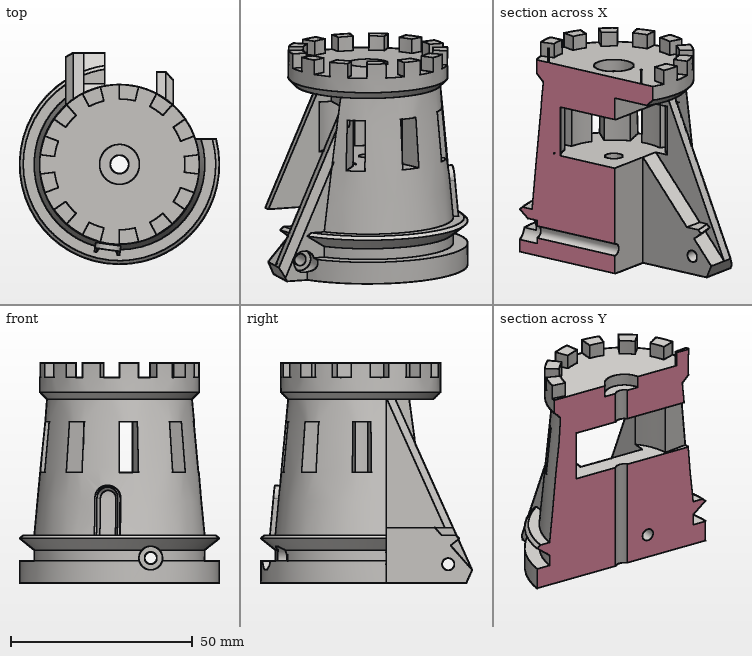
import cadquery as cq
import math

BASE_RADIUS = 27.5
NECK_RADIUS = 23.5
CORNICE_RADIUS = 20.0
CROWN_RADIUS = 22.0
BASE_TOP = 6.1
FLARE_START = 9.1
FLANGE_EDGE = 12.3
FLANGE_TOP = 13.2
FLANGE_BEVEL = 1.0
CORNICE_START = 50.6
CROWN_START = 52.6
ROOF = 56.6
TOTAL_HEIGHT = 60.6
REACH = 2 * BASE_RADIUS
TOWER_LEAN = (NECK_RADIUS - CORNICE_RADIUS) / (CORNICE_START - FLANGE_TOP)

TOOTH_COUNT = 13
TOOTH_PITCH = 360 / TOOTH_COUNT
WEDGE_ANGLE = TOOTH_PITCH / 2
TOOTH_INNER_RADIUS = 18.0

BORE_DIAMETER = 5.0
BORE_SEAT_DIAMETER = 11.0
BORE_SEAT_DEPTH = 3.3

WINDOW_COUNT = 6
FRONT_WINDOW_INDEX = 2
WINDOW_PITCH = 42.0
FRONT_WINDOW_ANGLE = -3 * TOOTH_PITCH
SILL = 30.5
LINTEL = 44.4
CHAMBER_RADIUS = 14.7

OPENING_Y = 7.0
CHEEK_OUTER_X = 14.85
LEFT_CHEEK_INNER_X = -9.8
RIGHT_CHEEK_INNER_X = 10.2
RAMP_EDGE_X = -4.0
RIGHT_CHEEK_BOTTOM = 15.3
CHEEK_TIP_Y = 30.72
CHEEK_TIP_Z = 3.6
CHEEK_FOOT_Y = 29.1
CHEEK_SLOPE = 2.22
CHEEK_CHAMFER = 2.1

SCREW_DIAMETER = 3.3
FRONT_HEAD_DIAMETER = 6.5
SIDE_HEAD_DIAMETER = 6.0
FRONT_SCREW_X = 8.6
FRONT_SCREW_Z = 6.9
FRONT_SEAT_Y = -20.0
SIDE_SCREW_Y = 24.1
SIDE_SCREW_Z = 5.2
SIDE_SEAT_X = -11.8

DOOR_ANGLE = 8.0
DOOR_OUTER_RADIUS = 3.5
DOOR_OPENING_RADIUS = 3.0
DOOR_SPRING_Z = 23.5
DOOR_PROJECTION = 1.5
DOOR_SPLAY = 28.0


def block(x_min, x_max, y_min, y_max, z_min, z_max):
    size = (x_max - x_min, y_max - y_min, z_max - z_min)
    return cq.Workplane("XY").box(*size, centered=False).translate((x_min, y_min, z_min))


def wedge(angle, radius, z_min, z_max):
    """Sector spanning half a tooth pitch, centred on the given angle from +X."""
    half_width = radius * math.tan(math.radians(WEDGE_ANGLE / 2))
    return (
        cq.Workplane("XY", origin=(0, 0, z_min))
        .polyline([(0, 0), (radius, -half_width), (radius, half_width)])
        .close()
        .extrude(z_max - z_min)
        .rotate((0, 0, 0), (0, 0, 1), angle)
    )


def turned_body():
    """Base, flange, tower and crown, with a full ring where the teeth will stand."""
    profile = [
        (0, 0),
        (BASE_RADIUS, 0),
        (BASE_RADIUS, BASE_TOP),
        (NECK_RADIUS, BASE_TOP),
        (NECK_RADIUS, FLARE_START),
        (BASE_RADIUS, FLANGE_EDGE),
        (BASE_RADIUS - FLANGE_BEVEL, FLANGE_TOP),
        (NECK_RADIUS, FLANGE_TOP),
        (CORNICE_RADIUS, CORNICE_START),
        (CROWN_RADIUS, CROWN_START),
        (CROWN_RADIUS, TOTAL_HEIGHT),
        (TOOTH_INNER_RADIUS, TOTAL_HEIGHT),
        (TOOTH_INNER_RADIUS, ROOF),
        (0, ROOF),
    ]
    return cq.Workplane("XZ").polyline(profile).close().revolve(360, (0, 0, 0), (0, 1, 0))


def rear_opening():
    """Space behind the tower; the left end of the base stays outside it."""
    upper = block(-CHEEK_OUTER_X, REACH, OPENING_Y, REACH, FLANGE_TOP, CORNICE_START)
    lower = block(RAMP_EDGE_X, REACH, OPENING_Y, REACH, 0, FLANGE_TOP)
    return upper.union(lower)


def cheek(inner_x, outer_x):
    """Sloping side plate with its outer rear edge chamfered."""
    top_y = CHEEK_TIP_Y - (CORNICE_START - CHEEK_TIP_Z) / CHEEK_SLOPE
    profile = [
        (OPENING_Y, 0),
        (CHEEK_FOOT_Y, 0),
        (CHEEK_TIP_Y, CHEEK_TIP_Z),
        (top_y, CORNICE_START),
        (OPENING_Y, CORNICE_START),
    ]
    slope_middle = ((CHEEK_TIP_Y + top_y) / 2, (CHEEK_TIP_Z + CORNICE_START) / 2)
    return (
        cq.Workplane("YZ", origin=(inner_x, 0, 0))
        .polyline(profile)
        .close()
        .extrude(outer_x - inner_x)
        .edges(cq.selectors.NearestToPointSelector((outer_x, *slope_middle)))
        .chamfer(CHEEK_CHAMFER)
    )


def ramp():
    """Filling between the left cheek and the opening, rising to the window sill."""
    profile = [
        (OPENING_Y, 0),
        (CHEEK_FOOT_Y, 0),
        (CHEEK_TIP_Y, CHEEK_TIP_Z),
        (OPENING_Y, SILL),
    ]
    return (
        cq.Workplane("YZ", origin=(LEFT_CHEEK_INNER_X, 0, 0))
        .polyline(profile)
        .close()
        .extrude(RAMP_EDGE_X - LEFT_CHEEK_INNER_X)
    )


def arch(radius, depth, taper=0):
    """Round-headed prism whose front lies along the sloping face of the door frame."""
    foot = (0, -(NECK_RADIUS + DOOR_PROJECTION), FLANGE_TOP)
    front = cq.Plane(origin=foot, xDir=(1, 0, 0), normal=(0, -1, TOWER_LEAN))
    spring = DOOR_SPRING_Z - FLANGE_TOP
    return (
        cq.Workplane(front)
        .moveTo(-radius, -radius)
        .lineTo(-radius, spring)
        .threePointArc((0, spring + radius), (radius, spring))
        .lineTo(radius, -radius)
        .close()
        .extrude(-depth, taper=taper)
    )


def door_frame():
    """Arched frame following the cone, with splayed inner sides."""
    height = DOOR_SPRING_Z + 2 * DOOR_OUTER_RADIUS - FLANGE_TOP
    outer_foot = NECK_RADIUS + DOOR_PROJECTION
    inner_foot = NECK_RADIUS - DOOR_PROJECTION
    shell_profile = [
        (inner_foot, FLANGE_TOP),
        (outer_foot, FLANGE_TOP),
        (outer_foot - TOWER_LEAN * height, FLANGE_TOP + height),
        (inner_foot - TOWER_LEAN * height, FLANGE_TOP + height),
    ]
    shell = cq.Workplane("XZ").polyline(shell_profile).close().revolve(360, (0, 0, 0), (0, 1, 0))
    depth = 3 * DOOR_PROJECTION
    frame = arch(DOOR_OUTER_RADIUS, 2 * depth)
    frame = frame.cut(arch(DOOR_OPENING_RADIUS, depth, DOOR_SPLAY))
    return frame.intersect(shell).rotate((0, 0, 0), (0, 0, 1), -DOOR_ANGLE)


def screw_hole(plane, seat_offset, head_diameter):
    """Through hole with a head recess; the plane's normal points out of the part."""
    hole = cq.Workplane(plane).circle(SCREW_DIAMETER / 2).extrude(REACH, both=True)
    head = (
        cq.Workplane(plane)
        .workplane(offset=seat_offset)
        .circle(head_diameter / 2)
        .extrude(REACH)
    )
    return hole.union(head)


def right_cheek():
    """Right side plate, which stops short above the flange."""
    plate = cheek(RIGHT_CHEEK_INNER_X, CHEEK_OUTER_X)
    return plate.intersect(block(0, REACH, 0, REACH, RIGHT_CHEEK_BOTTOM, TOTAL_HEIGHT))


def cut_tooth_gaps(body):
    for index in range(TOOTH_COUNT):
        gap_angle = (index + 0.5) * TOOTH_PITCH
        body = body.cut(wedge(gap_angle, REACH, ROOF, TOTAL_HEIGHT))
    return body


def chamber_and_windows():
    """Round chamber with radial windows sharing its floor and ceiling."""
    space = cq.Workplane("XY", origin=(0, 0, SILL)).circle(CHAMBER_RADIUS).extrude(LINTEL - SILL)
    for index in range(WINDOW_COUNT):
        angle = FRONT_WINDOW_ANGLE + (FRONT_WINDOW_INDEX - index) * WINDOW_PITCH
        space = space.union(wedge(angle, REACH, SILL, LINTEL))
    return space


def roof_bore():
    bore = cq.Workplane("XY").circle(BORE_DIAMETER / 2).extrude(TOTAL_HEIGHT)
    seat = (
        cq.Workplane("XY", origin=(0, 0, ROOF - BORE_SEAT_DEPTH))
        .circle(BORE_SEAT_DIAMETER / 2)
        .extrude(TOTAL_HEIGHT)
    )
    return bore.union(seat)


def front_screw():
    plane = cq.Plane(origin=(FRONT_SCREW_X, 0, FRONT_SCREW_Z), xDir=(1, 0, 0), normal=(0, -1, 0))
    return screw_hole(plane, -FRONT_SEAT_Y, FRONT_HEAD_DIAMETER)


def side_screw():
    plane = cq.Plane(origin=(0, SIDE_SCREW_Y, SIDE_SCREW_Z), xDir=(0, -1, 0), normal=(-1, 0, 0))
    return screw_hole(plane, -SIDE_SEAT_X, SIDE_HEAD_DIAMETER)


tower = turned_body().cut(rear_opening())
tower = tower.union(cheek(LEFT_CHEEK_INNER_X, -CHEEK_OUTER_X))
tower = tower.union(right_cheek())
tower = tower.union(ramp())
tower = cut_tooth_gaps(tower)
tower = tower.cut(chamber_and_windows())
tower = tower.cut(roof_bore())
tower = tower.union(door_frame())
tower = tower.cut(front_screw())
tower = tower.cut(side_screw())

result = tower